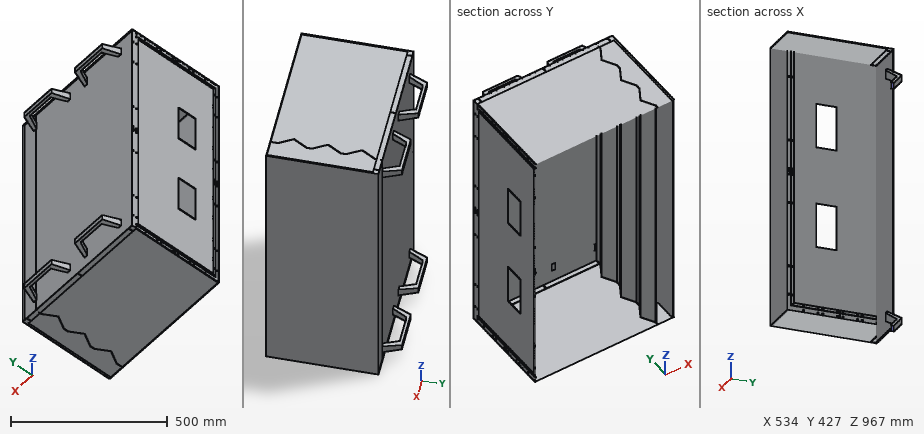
import cadquery as cq
import math

WIDTH = 534.0
DEPTH = 367.0
HEIGHT = 967.0
SHEET = 2.0
FAR_WALL = 7.0
FRONT_BEND = 3.0
INNER_WIDTH = WIDTH - SHEET - FAR_WALL
INNER_X = (SHEET - FAR_WALL) / 2
INNER_DEPTH = DEPTH - 2 * SHEET
INNER_HEIGHT = HEIGHT - 2 * SHEET

OPENING_DEPTH = 71.0
OPENING_HEIGHT = 151.0
OPENING_Y = -48.0
OPENING_Z = 173.0

SEAM = 1.0
OUTER_FRAME = 18.0
INNER_FRAME = 29.0
FRONT_INSET = 5.0
BACK_FRAME = 28.0
CORNER_SEAM_START = 10.0

RIVET_DIAMETER = 5.0
OUTER_ROW = 7.0
INNER_ROW = 22.0
FRONT_INNER_ROW = 20.0
BACK_INNER_ROW = 20.0
RIVET_Y = (10.0, 60.0, 76.0, 127.0)
RIVET_Z = (10.0, 108.0, 329.0, 427.0)

LIP_DEPTH = 19.0
LIP_SEAM = 2.0

BAFFLE_X = 203.0
WAVE_PITCH = 111.0
WAVE_VALLEY = 17.0
WAVE_COUNT = 3
WAVE_ANGLE = 30
BAFFLE_FRONT_GAP = 6.0

HANDLE_REACH = 60.0
HANDLE_X = 124.0
HANDLE_Z = 422.0
HANDLE_BASE_HALF = 89.0
HANDLE_TIP_HALF = 67.0
GRIP_BASE_HALF = 75.0
GRIP_TIP_HALF = 51.0
GRIP_THICKNESS = 11.0
HANDLE_BASE_HEIGHT = 29.0
HANDLE_TIP_HEIGHT = 21.0


def box(x_range, y_range, z_range):
    """Box between two limits on each axis."""
    (x0, x1), (y0, y1), (z0, z1) = x_range, y_range, z_range
    return cq.Workplane("XY").box(x1 - x0, y1 - y0, z1 - z0, centered=False).translate((x0, y0, z0))


def make_shell():
    """Closed box of sheet metal with rounded front bends along the top and bottom."""
    outside = cq.Workplane("XY").box(WIDTH, DEPTH, HEIGHT).edges("|X and <Y").fillet(FRONT_BEND)
    inside = cq.Workplane("XY").box(INNER_WIDTH, INNER_DEPTH, INNER_HEIGHT)
    return outside.cut(inside.translate((INNER_X, 0, 0)))


def make_openings():
    """Cutters for the two hand openings, passing through the -X wall."""
    centres = [(OPENING_Y, -OPENING_Z), (OPENING_Y, OPENING_Z)]
    return (
        cq.Workplane("YZ", origin=(-WIDTH / 2, 0, 0))
        .pushPoints(centres)
        .rect(OPENING_DEPTH, OPENING_HEIGHT)
        .extrude(SHEET)
    )


def make_wall_frame():
    """Riveted lining of the -X wall: a rim with two nested strips on three sides and one at the back."""
    wall_x = -WIDTH / 2 + SHEET
    x_range = (wall_x, wall_x + SHEET)
    front, back = -DEPTH / 2, DEPTH / 2
    top = HEIGHT / 2

    def plate(border_front, border_back, border_z):
        return box(x_range, (front + border_front, back - border_back), (border_z - top, top - border_z))

    window = plate(INNER_FRAME - FRONT_INSET, BACK_FRAME, INNER_FRAME)
    frame = plate(SHEET, SHEET, SHEET).cut(window)

    seam_front = OUTER_FRAME - FRONT_INSET
    seam_outside = plate(seam_front, BACK_FRAME - SEAM, OUTER_FRAME)
    seam_inside = plate(seam_front + SEAM, BACK_FRAME - SEAM, OUTER_FRAME + SEAM)
    frame = frame.cut(seam_outside.cut(seam_inside))

    half = SEAM / 2
    frame = frame.cut(box(x_range, (front, back), (-half, half)))
    frame = frame.cut(box(x_range, (-half, half), (-top, top)))

    back_seam = (back - BACK_INNER_ROW - half, back - BACK_INNER_ROW + half)
    for sign in (-1, 1):
        z_limits = sorted((sign * (top - CORNER_SEAM_START), sign * (top - OUTER_FRAME)))
        frame = frame.cut(box(x_range, back_seam, z_limits))

    rivets = []
    for sign in (-1, 1):
        corner_z = sign * (top - INNER_ROW)
        rivets += [(front + FRONT_INNER_ROW, corner_z), (back - BACK_INNER_ROW, corner_z)]
        for y in RIVET_Y:
            for row in (OUTER_ROW, INNER_ROW):
                rivets += [(sign * y, row - top), (sign * y, top - row)]
        for z in RIVET_Z:
            rivets += [(front + row, sign * z) for row in (OUTER_ROW, FRONT_INNER_ROW)]
            rivets += [(back - row, sign * z) for row in (OUTER_ROW, BACK_INNER_ROW)]
    holes = cq.Workplane("YZ", origin=(wall_x, 0, 0)).pushPoints(rivets).circle(RIVET_DIAMETER / 2)
    return frame.cut(holes.extrude(SHEET))


def make_back_lip(side):
    """Lip along the back edge of the top (side=1) or bottom (side=-1), split by three seams."""
    lip_z = side * (HEIGHT / 2 - 1.5 * SHEET)
    lip_y = DEPTH / 2 - (SHEET + LIP_DEPTH) / 2
    lip = cq.Workplane("XY").box(INNER_WIDTH, LIP_DEPTH - SHEET, SHEET).translate((INNER_X, lip_y, lip_z))
    end_seam_x = WIDTH / 2 - OUTER_FRAME
    seams = cq.Workplane("XY").pushPoints([(x, lip_y) for x in (-end_seam_x, 0, end_seam_x)])
    return lip.cut(seams.rect(LIP_SEAM, LIP_DEPTH).extrude(HEIGHT, both=True))


def make_baffle():
    """Corrugated sheet with flat valleys and sharp ridges, standing just clear of the front wall."""
    slope_run = (WAVE_PITCH - WAVE_VALLEY) / 2
    ridge_x = BAFFLE_X - slope_run * math.tan(math.radians(WAVE_ANGLE))
    front_face = [(BAFFLE_X, BAFFLE_FRONT_GAP - INNER_DEPTH / 2)]
    for wave in range(WAVE_COUNT):
        ridge_y = (wave - (WAVE_COUNT - 1) / 2) * WAVE_PITCH
        front_face += [
            (BAFFLE_X, ridge_y - slope_run),
            (ridge_x, ridge_y),
            (BAFFLE_X, ridge_y + slope_run),
        ]
    front_face.append((BAFFLE_X, INNER_DEPTH / 2))
    rear_face = [(x + SHEET, y) for x, y in reversed(front_face)]
    outline = cq.Workplane("XY").polyline(front_face + rear_face).close()
    return outline.extrude(INNER_HEIGHT / 2, both=True)


def make_handle():
    """Bow handle standing on the XZ plane, tapered in height towards its grip."""
    inner_reach = HANDLE_REACH - GRIP_THICKNESS
    bow = (
        cq.Workplane("XY")
        .polyline(
            [
                (-HANDLE_BASE_HALF, 0),
                (-HANDLE_TIP_HALF, HANDLE_REACH),
                (HANDLE_TIP_HALF, HANDLE_REACH),
                (HANDLE_BASE_HALF, 0),
                (GRIP_BASE_HALF, 0),
                (GRIP_TIP_HALF, inner_reach),
                (-GRIP_TIP_HALF, inner_reach),
                (-GRIP_BASE_HALF, 0),
            ]
        )
        .close()
        .extrude(HANDLE_BASE_HEIGHT, both=True)
    )
    taper = (
        cq.Workplane("YZ")
        .polyline(
            [
                (0, -HANDLE_BASE_HEIGHT / 2),
                (HANDLE_REACH, -HANDLE_TIP_HEIGHT / 2),
                (HANDLE_REACH, HANDLE_TIP_HEIGHT / 2),
                (0, HANDLE_BASE_HEIGHT / 2),
            ]
        )
        .close()
        .extrude(HANDLE_BASE_HALF, both=True)
    )
    return bow.intersect(taper)


result = make_shell().union(make_wall_frame()).cut(make_openings()).union(make_baffle())
for side in (-1, 1):
    result = result.union(make_back_lip(side))

handle = make_handle()
for x in (-HANDLE_X, HANDLE_X):
    for z in (-HANDLE_Z, HANDLE_Z):
        result = result.union(handle.translate((x, DEPTH / 2, z)))